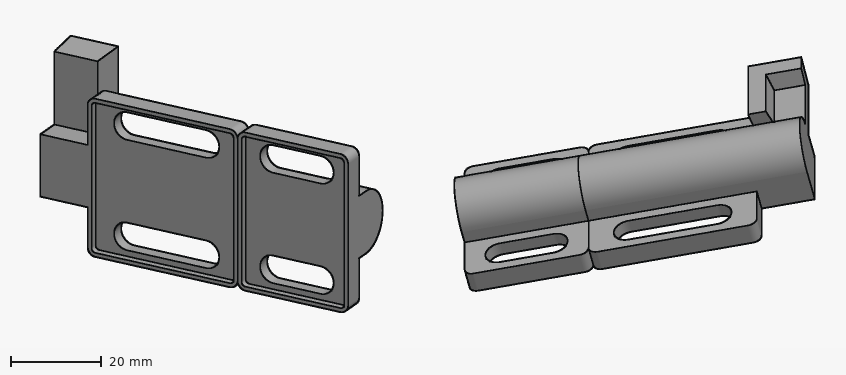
import cadquery as cq


PLATE_HEIGHT = 38.0
PLATE_THICKNESS = 5.0
LATCH_PLATE_LENGTH = 38.0
END_PLATE_LENGTH = 28.0
CORNER_RADIUS = 2.0
RIM_WIDTH = 1.0
RECESS_DEPTH = 1.8

SLOT_WIDTH = 6.6
SLOT_SPACING = 26.5
LATCH_SLOT_TRAVEL = 20.0
END_SLOT_TRAVEL = 12.0

SPINE_RADIUS = 7.5
SPINE_CENTRE_Y = 8.0
SPINE_OVERHANG = 12.0

HOOK_FRONT_Y = 6.25
ARM_THICKNESS = 3.5
LIP_REACH = 4.0
HOOK_TOP_Z = 26.0
LIP_BOTTOM_Z = 9.0
TOP_LIP_HEIGHT = 4.0
SIDE_LIP_WIDTH = 4.0
BACK_LAND = 0.5
TAPER = 1.0

ARM_BACK_Y = HOOK_FRONT_Y + ARM_THICKNESS
HOOK_BACK_Y = ARM_BACK_Y + LIP_REACH
LAND_Y = HOOK_BACK_Y - BACK_LAND
HOOK_RIGHT_X = -LATCH_PLATE_LENGTH
HOOK_LEFT_X = HOOK_RIGHT_X - SPINE_OVERHANG


def block_from_front(length, height, depth, centre_x):
    """Box centred on Z = 0 that starts at Y = 0 and goes back by depth."""
    return cq.Workplane("XY").box(length, depth, height).translate((centre_x, depth / 2, 0))


def spine(left_x, right_x):
    """D-shaped bar between two X positions."""
    return (
        cq.Workplane("YZ", origin=(left_x, 0, 0))
        .moveTo(0, -SPINE_RADIUS)
        .lineTo(SPINE_CENTRE_Y, -SPINE_RADIUS)
        .threePointArc((SPINE_CENTRE_Y + SPINE_RADIUS, 0), (SPINE_CENTRE_Y, SPINE_RADIUS))
        .lineTo(0, SPINE_RADIUS)
        .close()
        .extrude(right_x - left_x)
    )


def leaf(left_x, plate_length, spine_overhang, slot_travel):
    """Slotted plate with a recessed front and a length of spine behind it."""
    right_x = left_x + plate_length
    centre_x = left_x + plate_length / 2
    plate = block_from_front(plate_length, PLATE_HEIGHT, PLATE_THICKNESS, centre_x)
    plate = plate.edges("|Y").fillet(CORNER_RADIUS)
    recess = block_from_front(
        plate_length - 2 * RIM_WIDTH, PLATE_HEIGHT - 2 * RIM_WIDTH, RECESS_DEPTH, centre_x
    )
    recess = recess.edges("|Y").fillet(CORNER_RADIUS - RIM_WIDTH)
    slots = (
        cq.Workplane("XZ", origin=(centre_x, 0, 0))
        .pushPoints([(0, -SLOT_SPACING / 2), (0, SLOT_SPACING / 2)])
        .slot2D(slot_travel + SLOT_WIDTH, SLOT_WIDTH)
        .extrude(-PLATE_THICKNESS)
    )
    return plate.union(spine(left_x - spine_overhang, right_x)).cut(recess).cut(slots)


def hook():
    """Upright arm with a lip along its top and its right side, both tapering to the front."""
    side_profile = (
        cq.Workplane("YZ", origin=(HOOK_LEFT_X, 0, 0))
        .polyline([
            (HOOK_FRONT_Y, 0),
            (HOOK_FRONT_Y, HOOK_TOP_Z - TAPER),
            (LAND_Y, HOOK_TOP_Z),
            (HOOK_BACK_Y, HOOK_TOP_Z),
            (HOOK_BACK_Y, LIP_BOTTOM_Z),
            (ARM_BACK_Y, LIP_BOTTOM_Z),
            (ARM_BACK_Y, 0),
        ])
        .close()
        .extrude(SPINE_OVERHANG)
    )
    plan_profile = (
        cq.Workplane("XY")
        .polyline([
            (HOOK_LEFT_X, HOOK_FRONT_Y),
            (HOOK_RIGHT_X - TAPER, HOOK_FRONT_Y),
            (HOOK_RIGHT_X, LAND_Y),
            (HOOK_RIGHT_X, HOOK_BACK_Y),
            (HOOK_LEFT_X, HOOK_BACK_Y),
        ])
        .close()
        .extrude(HOOK_TOP_Z)
    )
    return side_profile.intersect(plan_profile).cut(hook_notch())


def hook_notch():
    """Space behind the arm, bounded by the sloping inner faces of the two lips."""
    lip_inner_z = HOOK_TOP_Z - TOP_LIP_HEIGHT
    lip_inner_x = HOOK_RIGHT_X - SIDE_LIP_WIDTH
    under_top_lip = (
        cq.Workplane("YZ", origin=(HOOK_LEFT_X, 0, 0))
        .polyline([
            (ARM_BACK_Y, LIP_BOTTOM_Z),
            (ARM_BACK_Y, lip_inner_z - TAPER),
            (HOOK_BACK_Y, lip_inner_z),
            (HOOK_BACK_Y, LIP_BOTTOM_Z),
        ])
        .close()
        .extrude(SPINE_OVERHANG)
    )
    beside_side_lip = (
        cq.Workplane("XY")
        .polyline([
            (HOOK_LEFT_X, ARM_BACK_Y),
            (lip_inner_x - TAPER, ARM_BACK_Y),
            (lip_inner_x, HOOK_BACK_Y),
            (HOOK_LEFT_X, HOOK_BACK_Y),
        ])
        .close()
        .extrude(HOOK_TOP_Z)
    )
    return under_top_lip.intersect(beside_side_lip)


latch_leaf = leaf(-LATCH_PLATE_LENGTH, LATCH_PLATE_LENGTH, SPINE_OVERHANG, LATCH_SLOT_TRAVEL)
latch_leaf = latch_leaf.union(hook())
end_leaf = leaf(0, END_PLATE_LENGTH, 0, END_SLOT_TRAVEL)

result = cq.Compound.makeCompound([latch_leaf.val(), end_leaf.val()])